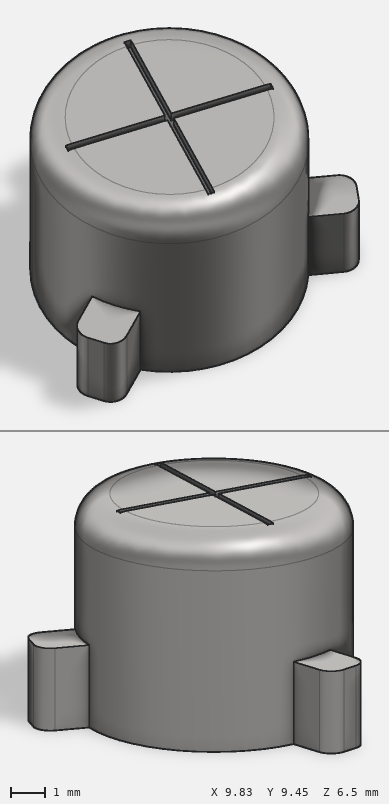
import cadquery as cq
import math

body_diameter = 8.0
body_height = 6.5
top_round = 1.0

tab_count = 3
overall_width = 9.83
tab_width = 1.5
tab_height = 2.5
tab_corner_radius = 0.5
first_tab_angle = -90
side_tab_tilt = math.radians(first_tab_angle + 360 / tab_count)

corner_side_offset = tab_width / 2 - tab_corner_radius
corner_centre_x = overall_width / 2 - tab_corner_radius
corner_centre_reach = (corner_centre_x - corner_side_offset * math.sin(side_tab_tilt)) / math.cos(side_tab_tilt)
tab_reach = corner_centre_reach + tab_corner_radius

groove_length = 6.36
groove_width = 0.2
groove_depth = 0.3
groove_angles = (45, -45)


def make_body():
    """Solid cylinder with a rounded top rim."""
    body = cq.Workplane("XY").circle(body_diameter / 2).extrude(body_height)
    return body.faces(">Z").edges().fillet(top_round)


def make_tab(angle):
    """Radial tab running from the axis outwards, with rounded outer corners."""
    tab = cq.Workplane("XY").box(tab_reach, tab_width, tab_height, centered=(False, True, False))
    tab = tab.edges("|Z and >X").fillet(tab_corner_radius)
    return tab.rotate((0, 0, 0), (0, 0, 1), angle)


def make_groove(angle):
    """Straight cutter sunk into the top face, passing through the axis."""
    groove = cq.Workplane("XY").box(groove_length, groove_width, groove_depth, centered=(True, True, False))
    groove = groove.translate((0, 0, body_height - groove_depth))
    return groove.rotate((0, 0, 0), (0, 0, 1), angle)


result = make_body()

for index in range(tab_count):
    result = result.union(make_tab(first_tab_angle + index * 360 / tab_count))

for groove_angle in groove_angles:
    result = result.cut(make_groove(groove_angle))